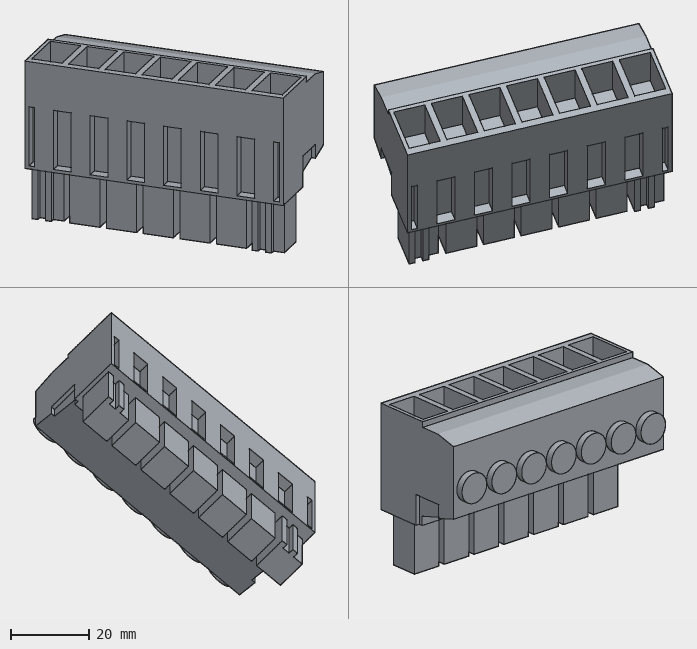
import cadquery as cq

pole_count = 7
pole_pitch = 10.1
pole_width = 8.3
first_pole_x = -pole_pitch * (pole_count - 1) / 2
pole_centres = [first_pole_x + i * pole_pitch for i in range(pole_count)]

housing_length = 71.1
housing_depth = 28.5
housing_height = 29.6
inner_length = (pole_count - 1) * pole_pitch + pole_width
end_wall = (housing_length - inner_length) / 2

tower_depth = 16.4
shoulder_z = 28.0
bevel_start_y = 22.4
back_top_z = 26.45
back_bottom_z = 6.3
foot_depth = 14.9
foot_height = 2.55

pocket_front_y = 2.1
pocket_width_y = 13.15
pocket_depth = 10.7

slot_width = 4.85
slot_bottom_z = 0.85
slot_height = 16.3
slot_depth = 2.9

notch_front_y = 13.8
notch_width_y = 8.8
notch_top_z = 8.5

end_prong_front_y = 2.2
middle_prong_front_y = 2.9
prong_back_y = 11.9
prong_length = 14.5
rib_width = 1.65
rib_gap = 2.05
relief_depth = 1.4

screw_diameter = pole_width
screw_length = 2.05
screw_z = 14.15


def box(x, y, z, size_x, size_y, size_z):
    """Box with its lowest corner at (x, y, z)."""
    return cq.Workplane("XY").box(size_x, size_y, size_z, centered=False).translate((x, y, z))


def housing_block():
    """Side profile extruded over the full length."""
    profile = [
        (0, 0),
        (0, housing_height),
        (tower_depth, housing_height),
        (tower_depth, shoulder_z),
        (bevel_start_y, shoulder_z),
        (housing_depth, back_top_z),
        (housing_depth, back_bottom_z),
        (foot_depth, foot_height),
        (foot_depth, 0),
    ]
    block = cq.Workplane("YZ").polyline(profile).close().extrude(housing_length)
    return block.translate((-housing_length / 2, 0, 0))


def pocket(centre_x):
    return box(
        centre_x - pole_width / 2, pocket_front_y, housing_height - pocket_depth,
        pole_width, pocket_width_y, pocket_depth,
    )


def front_slot(centre_x):
    """Slot in the front face; the end walls cut the outermost slots short."""
    left = max(centre_x - slot_width / 2, -inner_length / 2)
    right = min(centre_x + slot_width / 2, inner_length / 2)
    return box(left, 0, slot_bottom_z, right - left, slot_depth, slot_height)


def end_notch(left_x):
    return box(left_x, notch_front_y, 0, end_wall, notch_width_y, notch_top_z)


def prong(centre_x, front_y):
    return box(
        centre_x - pole_width / 2, front_y, -prong_length,
        pole_width, prong_back_y - front_y, prong_length,
    )


def relief(left_x, width):
    """Full-height recess in the front of an end prong."""
    return box(left_x, end_prong_front_y, -prong_length, width, relief_depth, prong_length)


def ribbed_prong(centre_x):
    """End prong whose front is cut back except for two upright ribs."""
    prong_left = centre_x - pole_width / 2
    gap_left = prong_left + rib_width
    side_left = gap_left + rib_gap + rib_width
    side_width = prong_left + pole_width - side_left
    body = prong(centre_x, end_prong_front_y)
    return body.cut(relief(gap_left, rib_gap)).cut(relief(side_left, side_width))


def make_housing():
    body = housing_block()
    for x in pole_centres:
        body = body.cut(pocket(x))
    for i in range(pole_count + 1):
        body = body.cut(front_slot(first_pole_x + (i - 0.5) * pole_pitch))
    for left_x in (-housing_length / 2, housing_length / 2 - end_wall):
        body = body.cut(end_notch(left_x))
    for x in pole_centres[1:-1]:
        body = body.union(prong(x, middle_prong_front_y))
    for x in (pole_centres[0], pole_centres[-1]):
        body = body.union(ribbed_prong(x))
    return body.solids()


def make_screw(centre_x):
    """Round screw head seated on the back face, axis along Y."""
    start = cq.Vector(centre_x, housing_depth, screw_z)
    return cq.Solid.makeCylinder(screw_diameter / 2, screw_length, start, cq.Vector(0, 1, 0))


housing = make_housing()
screws = [make_screw(x) for x in pole_centres]

result = cq.Compound.makeCompound([housing.val(), *screws])